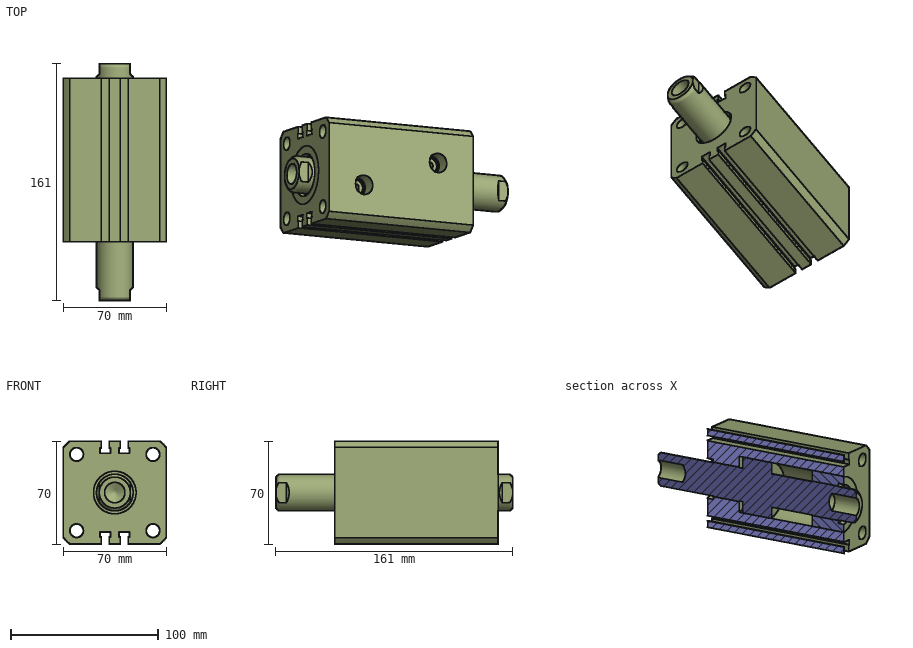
import cadquery as cq
import math


LENGTH = 111.1
SIDE = 70.0
CORNER_DIAMETER = 93.0
BOLT_HOLE_DIAMETER = 9.0
BOLT_HOLE_OFFSET = 26.0

SLOT_OFFSET = 6.5
SLOT_MOUTH_WIDTH = 5.3
SLOT_MOUTH_DEPTH = 4.8
SLOT_HEAD_WIDTH = 7.0
SLOT_DEPTH = 8.2

BORE_DIAMETER = 40.0
END_WALL = 26.2
RECESS_DIAMETER = 29.0
RECESS_DEPTH = 4.5

PORT_DIAMETER = 13.2
PORT_INNER_DIAMETER = 12.2
PORT_TAPER_DEPTH = 10.0
PORT_DRILL_DIAMETER = 10.6
PORT_DEPTH = 12.0
PORT_HEIGHT = 10.0
PORT_FROM_END = 27.0
PASSAGE_DIAMETER = 5.0
PASSAGE_DEPTH = 20.0

OVERALL_LENGTH = 161.0
ROD_DIAMETER = 25.0
FRONT_REACH = 40.0
REAR_REACH = OVERALL_LENGTH - LENGTH - FRONT_REACH
PISTON_GAP = 2.4
PISTON_LENGTH = 23.8
PISTON_EDGE_RADIUS = 0.8
TIP_CHAMFER = 2.0
TIP_EDGE_RADIUS = 1.5

FLAT_WIDTH = 21.0
FLAT_LENGTH = 7.1
TAP_DIAMETER = 13.8
TAP_DEPTH = 20.0
DRILL_POINT_ANGLE = 118.0

half_side = SIDE / 2
rod_radius = ROD_DIAMETER / 2
rod_front = -FRONT_REACH
rod_rear = LENGTH + REAR_REACH


def cylinder_y(diameter, start, end):
    """Solid cylinder on the Y axis between two Y positions."""
    return cq.Workplane("XZ", origin=(0, start, 0)).circle(diameter / 2).extrude(start - end)


def make_slot(side_x, side_z):
    """T-slot running the full length, opening to the top (+1) or bottom (-1) face."""
    x = side_x * SLOT_OFFSET
    mouth_z = side_z * (half_side - SLOT_DEPTH / 2)
    head_depth = SLOT_DEPTH - SLOT_MOUTH_DEPTH
    head_z = side_z * (half_side - SLOT_DEPTH + head_depth / 2)
    mouth = cq.Workplane("XY").box(SLOT_MOUTH_WIDTH, LENGTH, SLOT_DEPTH)
    head = cq.Workplane("XY").box(SLOT_HEAD_WIDTH, LENGTH, head_depth)
    mouth = mouth.translate((x, LENGTH / 2, mouth_z))
    head = head.translate((x, LENGTH / 2, head_z))
    return mouth.union(head)


def make_port(y, z):
    """Tapered port entering the -X face, then its drill and a narrow passage to the bore."""
    face = cq.Workplane("YZ", origin=(-half_side, y, z))
    taper = face.circle(PORT_DIAMETER / 2).workplane(offset=PORT_TAPER_DEPTH)
    taper = taper.circle(PORT_INNER_DIAMETER / 2).loft(ruled=True)
    drill = face.circle(PORT_DRILL_DIAMETER / 2).extrude(PORT_DEPTH)
    passage = face.circle(PASSAGE_DIAMETER / 2).extrude(PASSAGE_DEPTH)
    return taper.union(drill).union(passage)


def make_housing():
    """Square block, corners turned round the axis, with an integral front wall and a bore open to the rear."""
    block = cq.Workplane("XZ").rect(SIDE, SIDE).extrude(-LENGTH)
    block = block.intersect(cylinder_y(CORNER_DIAMETER, 0, LENGTH))
    for side_x in (-1, 1):
        for side_z in (-1, 1):
            bolt_hole = cylinder_y(BOLT_HOLE_DIAMETER, 0, LENGTH)
            corner = (side_x * BOLT_HOLE_OFFSET, 0, side_z * BOLT_HOLE_OFFSET)
            block = block.cut(bolt_hole.translate(corner))
            block = block.cut(make_slot(side_x, side_z))
    block = block.cut(make_port(PORT_FROM_END, PORT_HEIGHT))
    block = block.cut(make_port(LENGTH - PORT_FROM_END, -PORT_HEIGHT))
    block = block.cut(cylinder_y(BORE_DIAMETER, END_WALL, LENGTH))
    block = block.cut(cylinder_y(ROD_DIAMETER, 0, END_WALL))
    return block.cut(cylinder_y(RECESS_DIAMETER, 0, RECESS_DEPTH))


def make_rear_gland():
    """Plug that closes the rear of the bore and guides the rod."""
    gland = cylinder_y(BORE_DIAMETER, LENGTH - END_WALL, LENGTH)
    gland = gland.cut(cylinder_y(ROD_DIAMETER, LENGTH - END_WALL, LENGTH))
    return gland.cut(cylinder_y(RECESS_DIAMETER, LENGTH - RECESS_DEPTH, LENGTH))


def make_flat_cutter(tip_y, inward, side_x):
    """Wrench-flat cutter that runs out to the rod surface at 45 degrees."""
    ramp = rod_radius - FLAT_WIDTH / 2
    flat_x = side_x * FLAT_WIDTH / 2
    outer_x = side_x * (rod_radius + ramp)
    flat_end = tip_y + inward * FLAT_LENGTH
    outline = [
        (flat_x, tip_y),
        (flat_x, flat_end),
        (outer_x, flat_end + inward * 2 * ramp),
        (outer_x, tip_y),
    ]
    sketch = cq.Workplane("XY", origin=(0, 0, -rod_radius)).polyline(outline).close()
    return sketch.extrude(ROD_DIAMETER)


def make_tap_hole(tip_y, inward):
    """Blind hole on the rod axis with a conical drill point."""
    radius = TAP_DIAMETER / 2
    point = radius / math.tan(math.radians(DRILL_POINT_ANGLE / 2))
    shoulder = tip_y + inward * TAP_DEPTH
    outline = [(0, tip_y), (radius, tip_y), (radius, shoulder), (0, shoulder + inward * point)]
    return cq.Workplane("XY").polyline(outline).close().revolve(360, (0, 0), (0, 1))


def make_rod():
    """Through rod with its piston, wrench flats and a tapped hole at each end."""
    rod = cylinder_y(ROD_DIAMETER, rod_front, rod_rear).edges().chamfer(TIP_CHAMFER)
    chamfer_shoulders = cq.selectors.RadiusNthSelector(-1)
    rod = rod.edges("%CIRCLE").edges(chamfer_shoulders).fillet(TIP_EDGE_RADIUS)
    for tip_y, inward in ((rod_front, 1), (rod_rear, -1)):
        for side_x in (-1, 1):
            rod = rod.cut(make_flat_cutter(tip_y, inward, side_x))
        rod = rod.cut(make_tap_hole(tip_y, inward))
    piston_front = END_WALL + PISTON_GAP
    piston = cylinder_y(BORE_DIAMETER, piston_front, piston_front + PISTON_LENGTH)
    piston = piston.edges().fillet(PISTON_EDGE_RADIUS)
    return rod.union(piston)


housing = make_housing()
rear_gland = make_rear_gland()
rod = make_rod()

result = cq.Compound.makeCompound([housing.val(), rear_gland.val(), rod.val()])